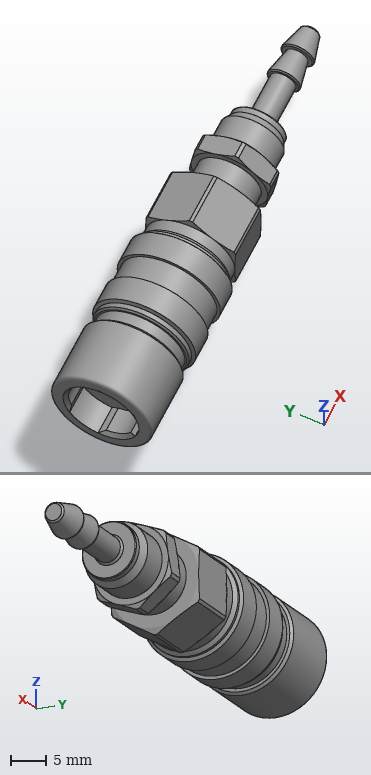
import cadquery as cq
import math

LENGTH = 69.0

SLEEVE_DIA = 15.8
SLEEVE_END = 10.9
SLEEVE_RIM_RADIUS = 0.5
SLEEVE_BACK_CHAMFER = 0.4
NECK_DIA = 14.0

COLLAR_DIA = 16.15
COLLAR_START = 12.9
COLLAR_END = 27.5
SHOULDER_DIA = 15.1
SHOULDER_LENGTH = 1.05
SHOULDER_TAPER = 0.3
FRONT_SHOULDER_CHAMFER = 0.3
BACK_SHOULDER_CHAMFER = 0.6
BAND_DIA = 15.1
BAND_START = 18.2
BAND_END = 22.3

BODY_DIA = 10.0
BODY_END = 49.75
BODY_TAPER = 1.25
SPIGOT_DIA = 8.6
SPIGOT_END = 52.0
SPIGOT_CHAMFER = 0.15

TAIL_DIA = 4.1
TAIL_ROOT_HEIGHT = 0.3
TAIL_ROOT_LENGTH = 0.4
BARB_DIA = 5.2
BARB_LIP_CHAMFER = 0.2
BARB_LIP_LENGTH = 0.5
BARB_1_START = 59.9
BARB_1_END_DIA = 3.5
BARB_2_START = 64.45
TIP_DIA = 3.1
TIP_CHAMFER = 0.3

HEX_START = 29.3
HEX_END = 37.95
HEX_ACROSS_FLATS = 14.0
HEX_CORNER_DIA = 15.9
HEX_CHAMFER = 0.3
NUT_START = 42.2
NUT_END = 45.3
NUT_ACROSS_FLATS = 12.0
NUT_CORNER_DIA = 13.5
NUT_CHAMFER = 0.3
NUT_TURN = 8.5

BORE_DIA = 11.9
BORE_DEPTH = 4.6
PAD_BORE_DIA = 10.75
PAD_LEAD_IN = 0.6
PAD_COUNT = 3
PAD_FLAT_DISTANCE = 4.9


def revolve_about_x(points):
    """Revolve an (x, radius) outline that is closed along the X axis."""
    return (
        cq.Workplane("XY")
        .polyline(points)
        .close()
        .revolve(360, (0, 0, 0), (1, 0, 0))
    )


def barb_points(start, end, end_dia):
    """Outline of one barb: a lip with a broken edge, then a taper toward the tip."""
    return [
        (start, BARB_DIA / 2 - BARB_LIP_CHAMFER),
        (start + BARB_LIP_CHAMFER, BARB_DIA / 2),
        (start + BARB_LIP_LENGTH, BARB_DIA / 2),
        (end, end_dia / 2),
    ]


def turned_body():
    sleeve_r = SLEEVE_DIA / 2
    collar_r = COLLAR_DIA / 2
    neck_r = NECK_DIA / 2
    shoulder_r = SHOULDER_DIA / 2
    band_r = BAND_DIA / 2
    body_r = BODY_DIA / 2
    spigot_r = SPIGOT_DIA / 2
    tail_r = TAIL_DIA / 2
    ring_start = COLLAR_START + SHOULDER_LENGTH
    ring_end = COLLAR_END - SHOULDER_LENGTH

    sleeve = [
        (0, 0),
        (0, sleeve_r),
        (SLEEVE_END - SLEEVE_BACK_CHAMFER, sleeve_r),
        (SLEEVE_END, sleeve_r - SLEEVE_BACK_CHAMFER),
        (SLEEVE_END, neck_r),
    ]
    collar = [
        (COLLAR_START, neck_r),
        (COLLAR_START, shoulder_r - FRONT_SHOULDER_CHAMFER),
        (COLLAR_START + FRONT_SHOULDER_CHAMFER, shoulder_r),
        (ring_start, shoulder_r),
        (ring_start + SHOULDER_TAPER, collar_r),
        (BAND_START, collar_r),
        (BAND_START, band_r),
        (BAND_END, band_r),
        (BAND_END, collar_r),
        (ring_end - SHOULDER_TAPER, collar_r),
        (ring_end, shoulder_r),
        (COLLAR_END - BACK_SHOULDER_CHAMFER, shoulder_r),
        (COLLAR_END, neck_r),
    ]
    body = [
        (HEX_START, neck_r),
        (HEX_START, body_r),
        (BODY_END, body_r),
        (BODY_END + BODY_TAPER, spigot_r),
        (SPIGOT_END - SPIGOT_CHAMFER, spigot_r),
        (SPIGOT_END, spigot_r - SPIGOT_CHAMFER),
    ]
    tail = [
        (SPIGOT_END, tail_r + TAIL_ROOT_HEIGHT),
        (SPIGOT_END + TAIL_ROOT_LENGTH, tail_r),
        (BARB_1_START, tail_r),
    ]
    tail += barb_points(BARB_1_START, BARB_2_START, BARB_1_END_DIA)
    tail += barb_points(BARB_2_START, LENGTH - TIP_CHAMFER, TIP_DIA)
    tail += [
        (LENGTH, TIP_DIA / 2 - TIP_CHAMFER),
        (LENGTH, 0),
    ]
    turned = revolve_about_x(sleeve + collar + body + tail)
    return turned.faces("<X").edges().fillet(SLEEVE_RIM_RADIUS)


def hexagon(start, end, across_flats, corner_dia, chamfer, turn):
    """Hexagon along X with turned-down corners and chamfered ends."""
    vertex_dia = across_flats / math.cos(math.radians(30))
    prism = (
        cq.Workplane("YZ", origin=(start, 0, 0))
        .transformed(rotate=(0, 0, 90 + turn))
        .polygon(6, vertex_dia)
        .extrude(end - start)
    )
    flat_r = across_flats / 2
    corner_r = corner_dia / 2
    envelope = revolve_about_x([
        (start, 0),
        (start, flat_r),
        (start + chamfer, corner_r),
        (end - chamfer, corner_r),
        (end, flat_r),
        (end, 0),
    ])
    return prism.intersect(envelope)


def socket_cavity():
    """Bore volume: full bore cut off by the pad flats, joined to the pad bore and its conical mouth."""
    bore_r = BORE_DIA / 2
    pad_r = PAD_BORE_DIA / 2
    pad_bore = revolve_about_x([
        (0, 0),
        (0, bore_r),
        (PAD_LEAD_IN, pad_r),
        (BORE_DEPTH, pad_r),
        (BORE_DEPTH, 0),
    ])
    flats_vertex_dia = 2 * PAD_FLAT_DISTANCE / math.cos(math.pi / PAD_COUNT)
    flats_prism = (
        cq.Workplane("YZ")
        .transformed(rotate=(0, 0, 180 / PAD_COUNT))
        .polygon(PAD_COUNT, flats_vertex_dia)
        .extrude(BORE_DEPTH)
    )
    full_bore = cq.Workplane("YZ").circle(bore_r).extrude(BORE_DEPTH)
    return full_bore.intersect(flats_prism).union(pad_bore)


wrench_hex = hexagon(HEX_START, HEX_END, HEX_ACROSS_FLATS, HEX_CORNER_DIA, HEX_CHAMFER, 0)
lock_nut = hexagon(NUT_START, NUT_END, NUT_ACROSS_FLATS, NUT_CORNER_DIA, NUT_CHAMFER, NUT_TURN)

result = turned_body().union(wrench_hex).union(lock_nut).cut(socket_cavity())